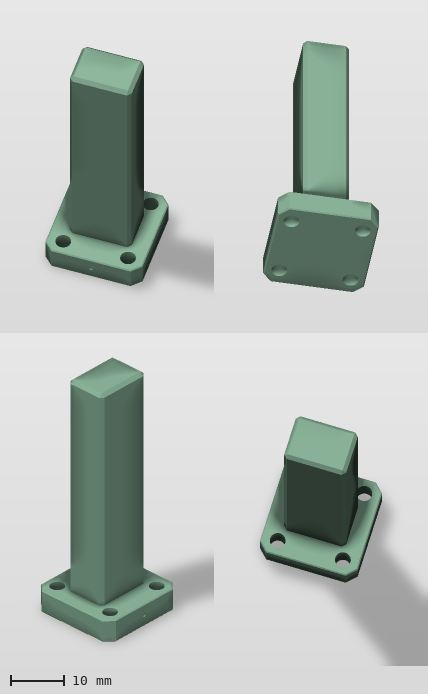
import cadquery as cq

flange_side = 19.05
flange_height = 4.8
flange_corner_chamfer = 1.8
flange_edge_chamfer = 0.22

total_height = 50.8
block_width = 12.1
block_depth = 8.7
block_chamfer = 0.7

hole_diameter = 2.95
hole_spacing_x = 12.7
hole_spacing_y = 13.5

pin_hole_diameter = 0.75
pin_hole_depth = 1.5


def make_flange():
    """Flange with cut corners, lightly chamfered rims and four through holes."""
    flange = (
        cq.Workplane("XY")
        .box(flange_side, flange_side, flange_height, centered=(True, True, False))
        .edges("|Z")
        .chamfer(flange_corner_chamfer)
        .faces("<Z or >Z")
        .edges()
        .chamfer(flange_edge_chamfer)
    )
    holes = (
        cq.Workplane("XY")
        .rarray(hole_spacing_x, hole_spacing_y, 2, 2)
        .circle(hole_diameter / 2)
        .extrude(flange_height)
    )
    return flange.cut(holes)


def make_block():
    """Block with chamfered vertical edges and top rim."""
    return (
        cq.Workplane("XY")
        .box(block_width, block_depth, total_height, centered=(True, True, False))
        .edges("|Z or >Z")
        .chamfer(block_chamfer)
    )


def make_pin_hole():
    """Cutter for the blind hole at mid height of the flange, running toward +Y."""
    return (
        cq.Workplane("XZ", origin=(0, -flange_side / 2, flange_height / 2))
        .circle(pin_hole_diameter / 2)
        .extrude(-pin_hole_depth)
    )


result = make_flange().union(make_block()).cut(make_pin_hole())